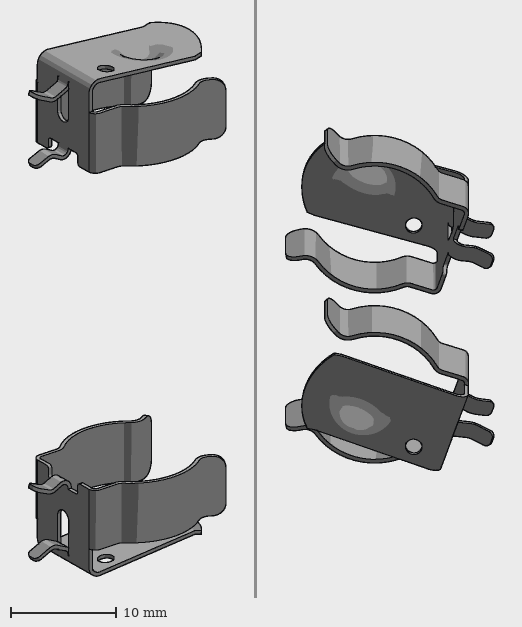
import cadquery as cq
import math

sheet = 0.4
stack_height = 52.55
clip_height = 9.5
half_width = 4.8
plate_width = 8.1
front_reach = 15.05
pin_reach = 3.85

top_z = stack_height / 2
bottom_z = top_z - clip_height

plate_bend_inner = 0.85
plate_bend_outer = plate_bend_inner + sheet
plate_droop = 5.0
tip_rise = 15.0
tip_start = 12.65
tip_kink_radius = 0.05
tip_corner_y = 13.45

dimple_y = 9.25
dimple_rim_radius = 3.15
dimple_bowl_radius = 2.0
dimple_slope = 41.5

hole_diameter = 1.6
hole_x = 2.35
hole_y = 3.3

arm_height = 6.3
arm_bend_inner = 0.39
arm_bend_outer = arm_bend_inner + sheet
clip_width = 13.6
arm_radius = clip_width / 2
arm_center_y = 8.05
arm_root_radius = 0.85
neck_half_gap = 4.8
neck_radius = 1.15
lip_slope = 60.0
lip_corner_radius = 1.3

slot_width = 1.75
slot_depth = 5.75
notch_width = 4.55
notch_height = 1.25
notch_corner_radius = 0.3

pin_width = 1.5
pin_lead = 0.1
pin_root_radius = 0.5
pin_knee_radius = 0.75
pin_tip_radius = 0.5
upper_pin_slopes = (-25.0, 25.0)
lower_pin_slopes = (27.0, -23.0)
upper_pin_run = 1.2
lower_pin_run = 0.75


def polar(angle):
    """Unit vector at an angle in degrees."""
    return math.cos(math.radians(angle)), math.sin(math.radians(angle))


def sheet_profile(plane, start, heading, moves):
    """Closed outline of a bent sheet that lies to the right of its starting face.

    A one-value move is a straight length. A two-value move is a bend: the radius
    on its inner side and its angle, positive to the left.
    """
    def point(angle, distance, origin):
        along, across = polar(angle)
        return origin[0] + distance * along, origin[1] + distance * across

    left = start
    right_start = point(heading - 90, sheet, start)
    left_path = []
    right_path = []
    for move in moves:
        if len(move) == 1:
            left = point(heading, move[0], left)
            left_path.append((left,))
            right_path.append((point(heading - 90, sheet, left),))
            continue
        radius, turn = move
        side = 1 if turn > 0 else -1
        left_radius = radius if turn > 0 else radius + sheet
        right_radius = radius + sheet if turn > 0 else radius
        center = point(heading + 90 * side, left_radius, left)
        spokes = [heading - 90 * side + turn * share for share in (0.5, 1)]
        left_path.append(tuple(point(spoke, left_radius, center) for spoke in spokes))
        right_path.append(tuple(point(spoke, right_radius, center) for spoke in spokes))
        left = left_path[-1][-1]
        heading += turn

    outline = cq.Workplane(plane).moveTo(*start)
    for stop in left_path:
        outline = outline.lineTo(*stop[0]) if len(stop) == 1 else outline.threePointArc(*stop)
    outline = outline.lineTo(*right_path[-1][-1])
    ends = [right_start] + [stop[-1] for stop in right_path[:-1]]
    for stop, end in zip(reversed(right_path), reversed(ends)):
        outline = outline.lineTo(*end) if len(stop) == 1 else outline.threePointArc(stop[0], end)
    return outline.close()


def wall_and_plate():
    droop_cos, droop_sin = polar(plate_droop)
    tip_cos = math.cos(math.radians(tip_rise))
    plate_start = plate_bend_outer * (1 + droop_sin)
    moves = [
        (clip_height - plate_bend_outer,),
        (plate_bend_inner, -90 - plate_droop),
        ((tip_start - plate_start) / droop_cos,),
        (tip_kink_radius, plate_droop + tip_rise),
        ((front_reach - tip_start) / tip_cos,),
    ]
    profile = sheet_profile("YZ", (0, bottom_z), 90, moves)
    blank = profile.extrude(plate_width / 2, both=True)
    plan = (
        cq.Workplane("XY", origin=(0, 0, bottom_z))
        .moveTo(-plate_width / 2, 0)
        .lineTo(plate_width / 2, 0)
        .lineTo(plate_width / 2, tip_corner_y)
        .threePointArc((0, front_reach), (-plate_width / 2, tip_corner_y))
        .close()
        .extrude(clip_height)
    )
    return blank.intersect(plan)


def arm():
    """The +X arm, with the strip of wall that carries it."""
    root_angle = math.acos((half_width + arm_root_radius) / (arm_radius + arm_root_radius))
    neck_x = neck_half_gap + sheet + neck_radius
    neck_angle = math.acos(neck_x / (arm_radius + neck_radius))
    straight_end = arm_center_y - (arm_radius + arm_root_radius) * math.sin(root_angle)
    neck_y = arm_center_y + (arm_radius + neck_radius) * math.sin(neck_angle)
    root_turn = math.degrees(root_angle)
    neck_turn = math.degrees(neck_angle)
    lip_cos, lip_sin = polar(lip_slope)
    lip_start = neck_y + (neck_radius + sheet) * lip_cos
    moves = [
        (half_width - arm_bend_outer,),
        (arm_bend_inner, 90),
        (straight_end - arm_bend_outer,),
        (arm_root_radius, -root_turn),
        (arm_radius - sheet, root_turn + neck_turn),
        (neck_radius, lip_slope - 90 - neck_turn),
        ((front_reach - lip_start) / lip_sin,),
    ]
    profile = sheet_profile("XY", (0, sheet), 0, moves)
    strip = profile.extrude(arm_height).translate((0, 0, bottom_z))
    return strip.faces(">Y").edges("not |Z").fillet(lip_corner_radius)


def dimple():
    """Hollow dimple and the matching hole, both square to the plate."""
    slope_cos, slope_sin = polar(dimple_slope)
    half_cos, half_sin = polar(dimple_slope / 2)
    bowl = dimple_bowl_radius / slope_sin
    flare = (dimple_rim_radius - dimple_bowl_radius) / slope_sin
    bowl_z = bowl - (bowl + flare) * (1 - slope_cos)

    def face(offset):
        """Points of one face, at a depth below the upper face, from the rim to the middle."""
        outer = bowl + offset
        inner = flare - offset
        return [
            (dimple_rim_radius, -offset),
            (dimple_rim_radius - inner * half_sin, inner * half_cos - flare),
            (outer * slope_sin, bowl_z - outer * slope_cos),
            (outer * half_sin, bowl_z - outer * half_cos),
            (0, bowl_z - outer),
        ]

    upper = face(0)
    lower = face(sheet)
    droop_cos, droop_sin = polar(plate_droop)
    bend_top = top_z - plate_bend_outer + plate_bend_outer / droop_cos
    plate_z = bend_top - (dimple_y - plate_bend_outer) * droop_sin / droop_cos
    place = cq.Plane((0, dimple_y, plate_z), (1, 0, 0), (0, droop_sin, droop_cos))
    shell = (
        cq.Workplane("XZ")
        .moveTo(*upper[0])
        .threePointArc(upper[1], upper[2])
        .threePointArc(upper[3], upper[4])
        .lineTo(*lower[4])
        .threePointArc(lower[3], lower[2])
        .threePointArc(lower[1], lower[0])
        .close()
        .revolve(360, (0, 0), (0, 1))
        .val()
        .moved(cq.Location(place))
    )
    opening = cq.Workplane(place).circle(dimple_rim_radius).extrude(sheet * 2, both=True)
    return shell, opening


def inspection_hole():
    return (
        cq.Workplane("XY", origin=(hole_x, hole_y, top_z - clip_height / 2))
        .circle(hole_diameter / 2)
        .extrude(clip_height)
    )


def slot():
    """Wall slot from the plate bend down to a full-round end."""
    radius = slot_width / 2
    upper = top_z - plate_bend_outer
    lower = top_z - slot_depth
    return (
        cq.Workplane("XZ", origin=(0, -sheet, 0))
        .moveTo(-radius, upper)
        .lineTo(-radius, lower + radius)
        .threePointArc((0, lower), (radius, lower + radius))
        .lineTo(radius, upper)
        .close()
        .extrude(-3 * sheet)
    )


def notch():
    """Notch in the lower edge of the wall, with all four corners rounded."""
    half = notch_width / 2
    radius = notch_corner_radius
    blend = radius * (1 - math.sqrt(0.5))
    ceiling = bottom_z + notch_height
    return (
        cq.Workplane("XZ", origin=(0, -sheet, 0))
        .moveTo(-half - radius, bottom_z)
        .threePointArc((-half - blend, bottom_z + blend), (-half, bottom_z + radius))
        .lineTo(-half, ceiling - radius)
        .threePointArc((-half + blend, ceiling - blend), (-half + radius, ceiling))
        .lineTo(half - radius, ceiling)
        .threePointArc((half - blend, ceiling - blend), (half, ceiling - radius))
        .lineTo(half, bottom_z + radius)
        .threePointArc((half + blend, bottom_z + blend), (half + radius, bottom_z))
        .close()
        .extrude(-3 * sheet)
    )


def pin(root_z, slopes, run):
    """Pin bent out of the wall, with a root bend, a knee and a tip of rounded corners."""
    root_slope, tip_slope = slopes
    root_cos, root_sin = polar(root_slope)
    tip_cos, tip_sin = polar(tip_slope)
    knee_upper = pin_knee_radius if tip_slope > root_slope else -pin_knee_radius - sheet
    knee_start = pin_root_radius * (1 + root_sin) + run * root_cos
    knee_end = knee_start + knee_upper * (tip_sin - root_sin)
    lower_lead = max(0, sheet * tip_sin)
    moves = [
        (pin_lead,),
        (pin_root_radius, -90 - root_slope),
        (run,),
        (pin_knee_radius, root_slope - tip_slope),
        ((pin_reach - lower_lead - knee_end) / tip_cos,),
    ]
    profile = sheet_profile("YZ", (sheet, root_z), -90, moves)
    strip = profile.extrude(pin_width / 2, both=True)
    return strip.faces("<Y").edges("not |X").fillet(pin_tip_radius)


def battery_clip():
    right_arm = arm()
    dimple_shell, dimple_opening = dimple()
    body = wall_and_plate().union(right_arm).union(right_arm.mirror("YZ"))
    body = body.cut(dimple_opening).union(cq.Workplane(dimple_shell))
    body = body.cut(inspection_hole()).cut(slot()).cut(notch())
    upper_pin = pin(top_z - plate_bend_outer, upper_pin_slopes, upper_pin_run)
    lower_pin = pin(bottom_z + notch_height, lower_pin_slopes, lower_pin_run)
    return body.union(upper_pin).union(lower_pin)


clips = []
for mirrored in (False, True):
    clip = battery_clip()
    clips.append(clip.mirror("XY").val() if mirrored else clip.val())

result = cq.Compound.makeCompound(clips)